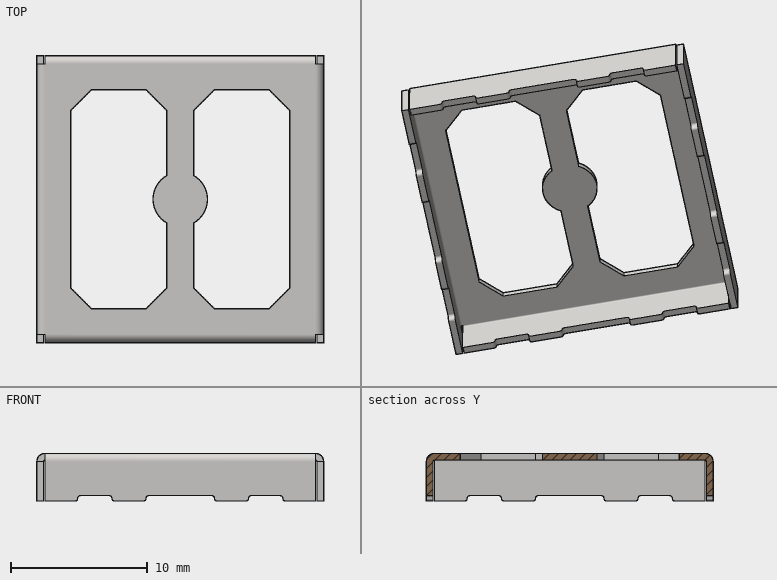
import cadquery as cq

SIDE = 21.0
HEIGHT = 3.5
SHEET = 0.5
BEND_INNER = 0.1
CORNER_GAP = 0.1

WINDOW_OUTER = 8.0
BRIDGE_WIDTH = 2.0
WINDOW_CHAMFER = 1.5
PAD_DIAMETER = 4.0

NOTCH_DEPTH = 0.4
NOTCH_ROUND = NOTCH_DEPTH / 2
CENTRE_NOTCH = 5.0
SIDE_NOTCH = 2.5
SIDE_NOTCH_OFFSET = 6.25

BEND_OUTER = BEND_INNER + SHEET
HALF = SIDE / 2
TOP_SIDE = SIDE - 2 * BEND_OUTER
BEND_Z = HEIGHT - BEND_OUTER
SHORT_WALL = SIDE - 2 * (SHEET + CORNER_GAP)
NOTCHES = [
    (-SIDE_NOTCH_OFFSET, SIDE_NOTCH),
    (0, CENTRE_NOTCH),
    (SIDE_NOTCH_OFFSET, SIDE_NOTCH),
]


def make_top_plate():
    plate = cq.Workplane("XY").box(TOP_SIDE, TOP_SIDE, SHEET, centered=(True, True, False))
    width = WINDOW_OUTER - BRIDGE_WIDTH / 2
    centre_x = (WINDOW_OUTER + BRIDGE_WIDTH / 2) / 2
    windows = (
        cq.Workplane("XY")
        .pushPoints([(-centre_x, 0), (centre_x, 0)])
        .rect(width, 2 * WINDOW_OUTER)
        .extrude(SHEET)
        .edges("|Z")
        .chamfer(WINDOW_CHAMFER)
    )
    pad = cq.Workplane("XY").circle(PAD_DIAMETER / 2).extrude(SHEET)
    return plate.cut(windows).union(pad).translate((0, 0, HEIGHT - SHEET))


def wall_outline(length):
    """Wall face from its toothed bottom edge up to the bend line."""
    outline = cq.Workplane("XZ").moveTo(-length / 2, BEND_Z).lineTo(-length / 2, 0)
    for centre, width in NOTCHES:
        left = centre - width / 2
        right = centre + width / 2
        outline = (
            outline.lineTo(left - NOTCH_ROUND, 0)
            .radiusArc((left, NOTCH_ROUND), -NOTCH_ROUND)
            .radiusArc((left + NOTCH_ROUND, NOTCH_DEPTH), NOTCH_ROUND)
            .lineTo(right - NOTCH_ROUND, NOTCH_DEPTH)
            .radiusArc((right, NOTCH_ROUND), NOTCH_ROUND)
            .radiusArc((right + NOTCH_ROUND, 0), -NOTCH_ROUND)
        )
    return outline.lineTo(length / 2, 0).lineTo(length / 2, BEND_Z).close()


def make_folded_wall(length):
    """Wall on the -Y side with the quarter-round bend that joins it to the top."""
    wall = wall_outline(length).extrude(SHEET).translate((0, SHEET - HALF, 0))
    bend_y = BEND_OUTER - HALF
    bend = (
        cq.Workplane("YZ")
        .moveTo(-HALF, BEND_Z)
        .radiusArc((bend_y, HEIGHT), BEND_OUTER)
        .lineTo(bend_y, HEIGHT - SHEET)
        .radiusArc((SHEET - HALF, BEND_Z), -BEND_INNER)
        .close()
        .extrude(TOP_SIDE / 2, both=True)
    )
    return wall.union(bend)


result = make_top_plate()
for angle, length in [(0, SHORT_WALL), (90, SIDE), (180, SHORT_WALL), (270, SIDE)]:
    wall = make_folded_wall(length).rotate((0, 0, 0), (0, 0, 1), angle)
    result = result.union(wall)